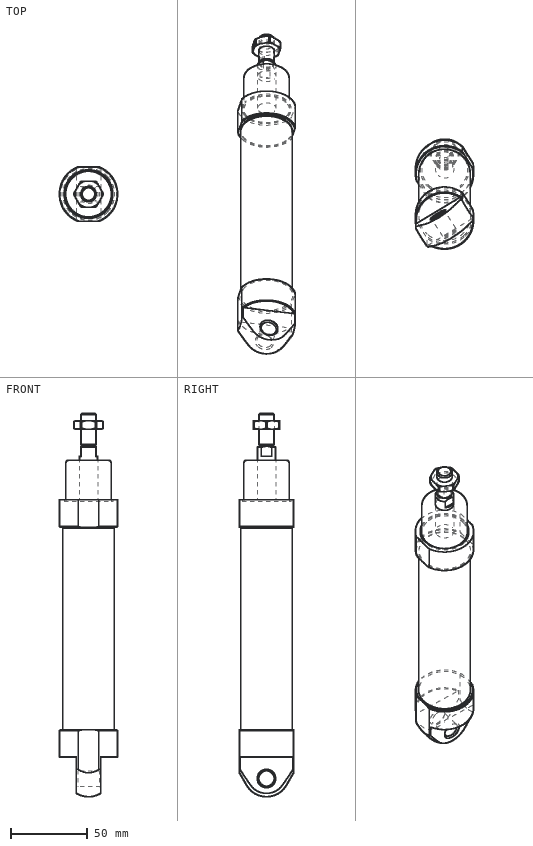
import cadquery as cq
import math

total_length = 251.5
rear_collar_bottom = 26.0
collar_height = 18.0
front_collar_top = 195.0
boss_top = 220.8

tube_diameter = 34.0
collar_diameter = 38.2
collar_across_flats = 35.7
collar_bottom_chamfer = 0.5
rear_collar_top_chamfer = 0.8
tube_groove_diameter = 33.7
tube_groove_height = 0.5
collar_recess_diameter = 32.0
collar_recess_depth = 1.0
boss_diameter = 30.0
boss_fillet = 2.0

lug_thickness = 16.0
lug_tip_radius = 15.0
lug_cone_half_angle = 30.0
lug_hole_diameter = 10.0
lug_hole_mouth_diameter = 12.0
lug_hole_height = 12.0

rod_diameter = 12.0
thread_diameter = 10.0
thread_tip_diameter = 8.3
thread_tip_chamfer_height = 1.0
relief_diameter = 8.5
shoulder_cone_bottom = 229.0
relief_bottom = 230.4
relief_top = 231.1
wrench_flat_bottom = 223.3
rod_across_flats = 10.0
rod_insertion = boss_top - front_collar_top

nut_bottom = 241.2
nut_height = 5.3
nut_across_flats = 17.0
nut_rounded_diameter = 19.0
nut_face_diameter = 17.5
nut_chamfer_height = 0.5

front_collar_bottom = front_collar_top - collar_height
rod_bottom = boss_top - rod_insertion


def cylinder(diameter, bottom, top):
    return cq.Workplane("XY").workplane(offset=bottom).circle(diameter / 2).extrude(top - bottom)


def block(x_size, y_size, bottom, top):
    return (
        cq.Workplane("XY").workplane(offset=bottom)
        .rect(x_size, y_size).extrude(top - bottom)
    )


def revolved(profile):
    """Revolve a closed profile, drawn as (radius, height), about the Z axis."""
    return profile.close().revolve(360, (0, 0, 0), (0, 1, 0))


def make_collar(bottom, top_chamfer=0):
    """Round collar with a wrench flat on each Y side."""
    top = bottom + collar_height
    collar = cylinder(collar_diameter, bottom, top).faces("<Z").edges().chamfer(collar_bottom_chamfer)
    if top_chamfer:
        collar = collar.faces(">Z").edges().chamfer(top_chamfer)
    return collar.intersect(block(collar_diameter, collar_across_flats, bottom, top))


def make_lug_hole_cutter():
    """Cross hole along X with a 45 degree countersink at each mouth."""
    half_length = lug_thickness / 2
    hole_radius = lug_hole_diameter / 2
    mouth_radius = lug_hole_mouth_diameter / 2
    countersink_depth = mouth_radius - hole_radius
    cutter = (
        cq.Workplane("XY").moveTo(-half_length, 0)
        .lineTo(-half_length, mouth_radius)
        .lineTo(-half_length + countersink_depth, hole_radius)
        .lineTo(half_length - countersink_depth, hole_radius)
        .lineTo(half_length, mouth_radius)
        .lineTo(half_length, 0)
        .close().revolve(360, (0, 0, 0), (1, 0, 0))
    )
    return cutter.translate((0, 0, lug_hole_height))


def make_lug():
    """Flat lug cut from a turned cone that runs tangentially into a spherical tip."""
    angle = math.radians(lug_cone_half_angle)
    collar_radius = collar_diameter / 2
    tangent_radius = lug_tip_radius * math.cos(angle)
    tangent_height = lug_tip_radius * (1 - math.sin(angle))
    arc_mid_angle = (math.pi / 2 - angle) / 2
    arc_mid = (
        lug_tip_radius * math.sin(arc_mid_angle),
        lug_tip_radius * (1 - math.cos(arc_mid_angle)),
    )
    cone_top = tangent_height + (collar_radius - tangent_radius) / math.tan(angle)
    lug_top = rear_collar_bottom + collar_height / 2
    turned = revolved(
        cq.Workplane("XZ").moveTo(0, 0)
        .threePointArc(arc_mid, (tangent_radius, tangent_height))
        .lineTo(collar_radius, cone_top)
        .lineTo(collar_radius, lug_top)
        .lineTo(0, lug_top)
    )
    lug = turned.intersect(block(lug_thickness, collar_across_flats, 0, lug_top))
    return lug.cut(make_lug_hole_cutter())


def make_boss():
    boss_bottom = front_collar_top - collar_height / 2
    return cylinder(boss_diameter, boss_bottom, boss_top).faces(">Z").edges().fillet(boss_fillet)


def make_tube():
    """Barrel that ends inside both collars, with a shallow groove just below the front one."""
    tube_bottom = rear_collar_bottom + collar_height / 2
    tube_top = front_collar_bottom + collar_height / 2
    groove_bottom = front_collar_bottom - tube_groove_height
    barrel = cylinder(tube_diameter, tube_bottom, groove_bottom)
    return barrel.union(cylinder(tube_groove_diameter, groove_bottom, tube_top))


def make_housing():
    front_collar = make_collar(front_collar_bottom).cut(
        cylinder(collar_recess_diameter, front_collar_top - collar_recess_depth, front_collar_top)
    )
    return (
        make_tube()
        .union(make_collar(rear_collar_bottom, rear_collar_top_chamfer))
        .union(front_collar)
        .union(make_lug())
        .union(make_boss())
        .cut(cylinder(rod_diameter, rod_bottom, boss_top))
    )


def make_rod():
    rod_radius = rod_diameter / 2
    thread_radius = thread_diameter / 2
    relief_radius = relief_diameter / 2
    rod = revolved(
        cq.Workplane("XZ").moveTo(0, rod_bottom)
        .lineTo(rod_radius, rod_bottom)
        .lineTo(rod_radius, shoulder_cone_bottom)
        .lineTo(relief_radius, relief_bottom)
        .lineTo(relief_radius, relief_top)
        .lineTo(thread_radius, relief_top)
        .lineTo(thread_radius, total_length - thread_tip_chamfer_height)
        .lineTo(thread_tip_diameter / 2, total_length)
        .lineTo(0, total_length)
    )
    flat_zone = block(rod_diameter, rod_diameter, wrench_flat_bottom, relief_bottom)
    flat_zone = flat_zone.cut(block(rod_across_flats, rod_diameter, wrench_flat_bottom, relief_bottom))
    return rod.cut(flat_zone)


def make_nut():
    """Hexagon nut with its corners rounded and chamfered on both faces."""
    corner_radius = nut_across_flats / math.sqrt(3)
    rounded_radius = nut_rounded_diameter / 2
    face_radius = nut_face_diameter / 2
    nut_top = nut_bottom + nut_height
    hexagon = (
        cq.Workplane("XY").workplane(offset=nut_bottom)
        .polygon(6, 2 * corner_radius).extrude(nut_height)
    )
    envelope = revolved(
        cq.Workplane("XZ").moveTo(0, nut_bottom)
        .lineTo(face_radius, nut_bottom)
        .lineTo(rounded_radius, nut_bottom + nut_chamfer_height)
        .lineTo(rounded_radius, nut_top - nut_chamfer_height)
        .lineTo(face_radius, nut_top)
        .lineTo(0, nut_top)
    )
    return hexagon.intersect(envelope).cut(cylinder(thread_diameter, nut_bottom, nut_top))


housing = make_housing()
rod = make_rod()
nut = make_nut()

result = cq.Compound.makeCompound([housing.val(), rod.val(), nut.val()])